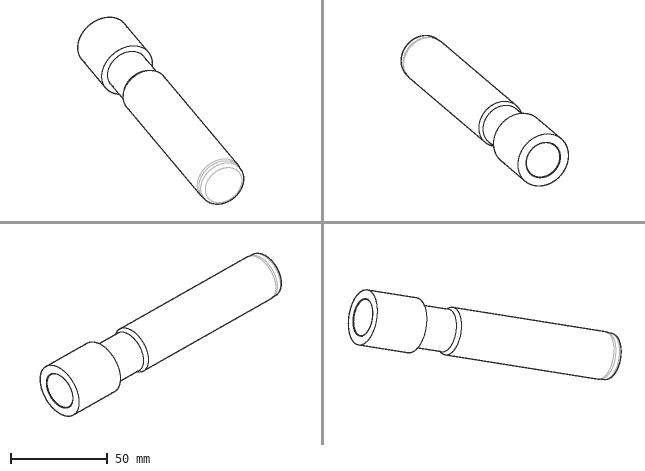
import cadquery as cq

overall_length = 150.0

head_diameter = 29.0
head_length = 30.0
radial_clearance = 0.3

spigot_diameter = 19.0
spigot_recess = 0.3
neck_diameter = 22.4
neck_length = 20.0
grip_diameter = 25.0
shoulder_length = 2.2
tail_diameter = 24.5
tail_length = 4.0
tail_taper_length = 1.4
end_radius = 1.8

bore_diameter = spigot_diameter + 2 * radial_clearance
neck_end = head_length + neck_length
tail_start = overall_length - tail_length


def make_head():
    """Ring that seats against the front of the neck."""
    return (
        cq.Workplane("YZ")
        .circle(head_diameter / 2)
        .circle(bore_diameter / 2)
        .extrude(head_length)
    )


def make_shank():
    """Turned bar whose spigot runs through the head, ending just behind its front face."""
    half_profile = (
        cq.Workplane("XY")
        .moveTo(spigot_recess, 0)
        .lineTo(spigot_recess, spigot_diameter / 2)
        .lineTo(head_length, spigot_diameter / 2)
        .lineTo(head_length, neck_diameter / 2)
        .lineTo(neck_end, neck_diameter / 2)
        .lineTo(neck_end + shoulder_length, grip_diameter / 2)
        .lineTo(tail_start - tail_taper_length, grip_diameter / 2)
        .lineTo(tail_start, tail_diameter / 2)
        .lineTo(overall_length, tail_diameter / 2)
        .lineTo(overall_length, 0)
        .close()
    )
    shank = half_profile.revolve(360, (0, 0, 0), (1, 0, 0))
    return shank.faces(">X").edges().fillet(end_radius)


head = make_head()
shank = make_shank()

result = cq.Compound.makeCompound([head.val(), shank.val()])